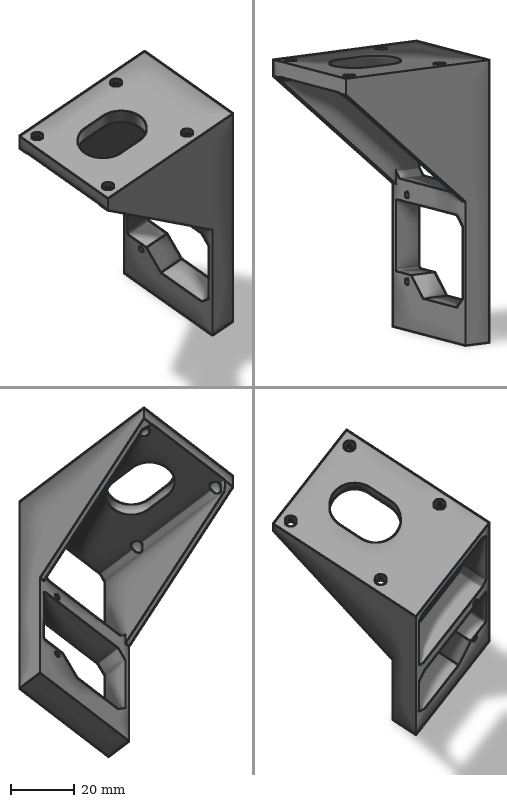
import cadquery as cq

width = 40.0
depth = 55.5
height = 90.9

back_thickness = 9.2
top_thickness = 5.0
side_wall = 1.7
front_lip = 5.3
gusset_bottom = 46.2

upper_bottom = 48.2
upper_chamfer = 2.1

lower_bottom = 11.55
lower_top = 41.3
lower_chamfer = 3.2
step_height = 6.55
step_width = 8.5

window_corner_radius = 0.9

screw_diameter = 2.0
screw_from_side = 7.8
screw_heights = (15.6, 43.55)

mount_diameter = 3.7
mount_inset = 4.0
mount_pitch_y = 34.9
slot_width = 16.0
slot_length = 24.1

half_width = width / 2
inner_half = half_width - side_wall
back_plate_front = depth - back_thickness
top_underside = height - top_thickness
mount_center_y = mount_inset + mount_pitch_y / 2


def bracket_body():
    """Solid side profile, later hollowed between the side walls."""
    profile = [
        (0, height),
        (depth, height),
        (depth, 0),
        (back_plate_front, 0),
        (back_plate_front, gusset_bottom),
        (0, height - front_lip),
    ]
    return cq.Workplane("YZ").polyline(profile).close().extrude(half_width, both=True)


def block_between_walls(y_start, y_end, z_bottom):
    """Block filling the clear width up to the top plate, with softened corner bevels."""
    block = cq.Workplane("XY").box(
        2 * inner_half, y_end - y_start, top_underside - z_bottom, centered=(True, False, False)
    )
    block = block.edges("|Y").chamfer(upper_chamfer)
    return block.edges("|Y").fillet(window_corner_radius).translate((0, y_start, z_bottom))


def gusset_hollow():
    """Space in front of the back plate, open below the sloping edges of the side walls."""
    return block_between_walls(0, back_plate_front, 0)


def upper_window():
    """Opening through the back plate."""
    return block_between_walls(back_plate_front, depth, upper_bottom)


def lower_window():
    """Opening through the back plate with a raised step at its lower left."""
    step_top = lower_bottom + step_height
    outline = [
        (-inner_half, lower_top),
        (inner_half - lower_chamfer, lower_top),
        (inner_half, lower_top - lower_chamfer),
        (inner_half, lower_bottom + lower_chamfer),
        (inner_half - lower_chamfer, lower_bottom),
        (-inner_half + step_width + step_height, lower_bottom),
        (-inner_half + step_width, step_top),
        (-inner_half, step_top),
    ]
    block = cq.Workplane("XZ", origin=(0, depth, 0)).polyline(outline).close().extrude(back_thickness)
    slope_x = -inner_half + step_width + step_height / 2
    slope_z = lower_bottom + step_height / 2
    sharp_box = cq.selectors.BoxSelector(
        (slope_x - step_height, 0, slope_z - step_height),
        (slope_x + step_height, depth, slope_z + step_height),
    )
    through_edges = cq.selectors.ParallelDirSelector(cq.Vector(0, 1, 0))
    rounded_edges = cq.selectors.SubtractSelector(through_edges, sharp_box)
    return block.edges(rounded_edges).fillet(window_corner_radius)


def screw_holes():
    x = screw_from_side - half_width
    return (
        cq.Workplane("XZ", origin=(0, depth, 0))
        .pushPoints([(x, z) for z in screw_heights])
        .circle(screw_diameter / 2)
        .extrude(back_thickness)
    )


def top_plate_openings():
    """Four mounting holes around a central slot running along Y."""
    plane = cq.Workplane("XY", origin=(0, mount_center_y, height))
    holes = (
        plane.rect(width - 2 * mount_inset, mount_pitch_y, forConstruction=True)
        .vertices()
        .circle(mount_diameter / 2)
        .extrude(-top_thickness - upper_chamfer)
    )
    slot = plane.slot2D(slot_length, slot_width, 90).extrude(-top_thickness)
    return holes.union(slot)


result = (
    bracket_body()
    .cut(gusset_hollow())
    .cut(upper_window())
    .cut(lower_window())
    .cut(screw_holes())
    .cut(top_plate_openings())
)